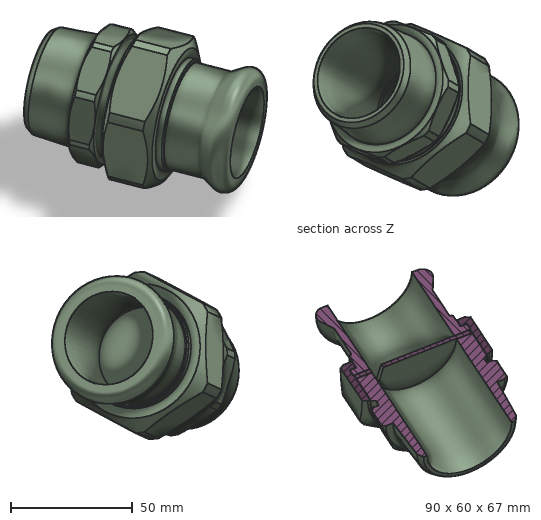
import cadquery as cq
import math

bore_radius = 19.4

taper_tip_radius = 21.2
taper_start_radius = 22.9
taper_end_radius = 24.1
taper_chamfer_length = 2.6
octagon_start = 21.8
octagon_end = 33.1
octagon_across_flats = 55.1
octagon_corner_radius = 29.25
octagon_face_radius = 27.4
octagon_chamfer_length = 1.33
octagon_corner_direction = 4.8
neck_radius = 25.0
neck_fillet_radius = 0.3
thread_lead_angle = math.radians(65)
thread_lead_fillet_radius = 0.5
union_thread_radius = 26.9
union_thread_start = 36.5
union_thread_end = 50.0

disc_thickness = 2.0
disc_end = union_thread_end + disc_thickness
opening_chord_distance = 13.7
opening_direction = 14.4

nut_start = 37.0
nut_end = 58.9
nut_across_flats = 60.0
nut_corner_radius = 33.5
nut_face_radius = 28.0
nut_chamfer_length = 3.2
nut_corner_direction = 90

flange_end = disc_end + 3.0
collar_radius = 24.0
collar_end = 62.2
collar_chamfer = 0.6
tube_radius = 22.7
cone_angle = math.radians(30)
cone_blend_radius = 2.0
bead_radius = 4.5
bead_peak_radius = 26.6
fitting_end = 90.0


def revolve_about_x(profile):
    """Turn a closed (x, radius) wire around the X axis."""
    return profile.close().revolve(360, (0, 0, 0), (1, 0, 0))


def turned(points):
    return revolve_about_x(cq.Workplane("XY").polyline(points))


def upward_blend(corner_x, corner_radius, angle, blend_radius):
    """Start, middle and end of the arc that blends a cylinder into a cone widening toward +X."""
    tangent_length = blend_radius * math.tan(angle / 2)
    start_x = corner_x - tangent_length

    def arc_point(turned_angle):
        return (
            start_x + blend_radius * math.sin(turned_angle),
            corner_radius + blend_radius * (1 - math.cos(turned_angle)),
        )

    return arc_point(0), arc_point(angle / 2), arc_point(angle)


def cylinder(start, end, radius):
    return cq.Workplane("YZ", origin=(start, 0, 0)).circle(radius).extrude(end - start)


def wrench_prism(
    sides, across_flats, start, end, corner_radius, face_radius, chamfer_length, corner_direction
):
    """Polygonal prism along X, with turned corners and a cone chamfer at each end."""
    prism = (
        cq.Workplane("YZ", origin=(start, 0, 0))
        .transformed(rotate=(0, 0, corner_direction - 180 / sides))
        .polygon(sides, across_flats, circumscribed=True)
        .extrude(end - start)
    )
    envelope = turned([
        (start, 0),
        (start, face_radius),
        (start + chamfer_length, corner_radius),
        (end - chamfer_length, corner_radius),
        (end, face_radius),
        (end, 0),
    ])
    return prism.intersect(envelope)


def make_tail():
    neck_end = union_thread_start - (union_thread_radius - neck_radius) / math.tan(thread_lead_angle)
    lead_fillet_start, lead_fillet_middle, lead_fillet_end = upward_blend(
        neck_end, neck_radius, thread_lead_angle, thread_lead_fillet_radius
    )
    fillet_rise = neck_fillet_radius * (1 - math.sqrt(0.5))
    shank = revolve_about_x(
        cq.Workplane("XY")
        .lineTo(0, taper_tip_radius)
        .lineTo(taper_chamfer_length, taper_start_radius)
        .lineTo(octagon_start, taper_end_radius)
        .lineTo(octagon_end, taper_end_radius)
        .lineTo(octagon_end, neck_radius + neck_fillet_radius)
        .threePointArc(
            (octagon_end + fillet_rise, neck_radius + fillet_rise),
            (octagon_end + neck_fillet_radius, neck_radius),
        )
        .lineTo(*lead_fillet_start)
        .threePointArc(lead_fillet_middle, lead_fillet_end)
        .lineTo(union_thread_start, union_thread_radius)
        .lineTo(union_thread_end, union_thread_radius)
        .lineTo(union_thread_end, 0)
    )
    octagon = wrench_prism(
        8, octagon_across_flats, octagon_start, octagon_end,
        octagon_corner_radius, octagon_face_radius,
        octagon_chamfer_length, octagon_corner_direction,
    )
    return shank.union(octagon).cut(cylinder(0, union_thread_end, bore_radius))


def make_sealing_disc():
    """Disc across the bore, open only in a segment on one side of a chord."""
    disc = cylinder(union_thread_end, disc_end, union_thread_radius)
    beyond_chord = (
        cq.Workplane("YZ", origin=(union_thread_end, 0, 0))
        .transformed(rotate=(0, 0, opening_direction))
        .center(opening_chord_distance + bore_radius / 2, 0)
        .rect(bore_radius, 2 * bore_radius)
        .extrude(disc_thickness)
    )
    opening = cylinder(union_thread_end, disc_end, bore_radius).intersect(beyond_chord)
    return disc.cut(opening)


def make_nut():
    hexagon = wrench_prism(
        6, nut_across_flats, nut_start, nut_end,
        nut_corner_radius, nut_face_radius, nut_chamfer_length, nut_corner_direction,
    )
    thread_bore = cylinder(nut_start, flange_end, union_thread_radius)
    collar_bore = cylinder(flange_end, nut_end, collar_radius)
    return hexagon.cut(thread_bore).cut(collar_bore)


def make_press_end():
    bead_center_x = fitting_end - bead_radius
    bead_center_radius = bead_peak_radius - bead_radius
    bead_start_x = bead_center_x - bead_radius * math.sin(cone_angle)
    bead_start_radius = bead_center_radius + bead_radius * math.cos(cone_angle)
    cone_start = bead_start_x - (bead_start_radius - tube_radius) / math.tan(cone_angle)
    blend_start, blend_middle, blend_end = upward_blend(
        cone_start, tube_radius, cone_angle, cone_blend_radius
    )

    profile = (
        cq.Workplane("XY")
        .moveTo(disc_end, bore_radius)
        .lineTo(disc_end, union_thread_radius)
        .lineTo(flange_end, union_thread_radius)
        .lineTo(flange_end, collar_radius)
        .lineTo(collar_end - collar_chamfer, collar_radius)
        .lineTo(collar_end, collar_radius - collar_chamfer)
        .lineTo(collar_end, tube_radius)
        .lineTo(*blend_start)
        .threePointArc(blend_middle, blend_end)
        .lineTo(bead_start_x, bead_start_radius)
        .threePointArc((bead_center_x, bead_peak_radius), (fitting_end, bead_center_radius))
        .lineTo(fitting_end, bore_radius)
    )
    return revolve_about_x(profile)


tail = make_tail()
sealing_disc = make_sealing_disc()
nut = make_nut()
press_end = make_press_end()

result = cq.Compound.makeCompound([
    tail.val(),
    sealing_disc.val(),
    nut.val(),
    press_end.val(),
])